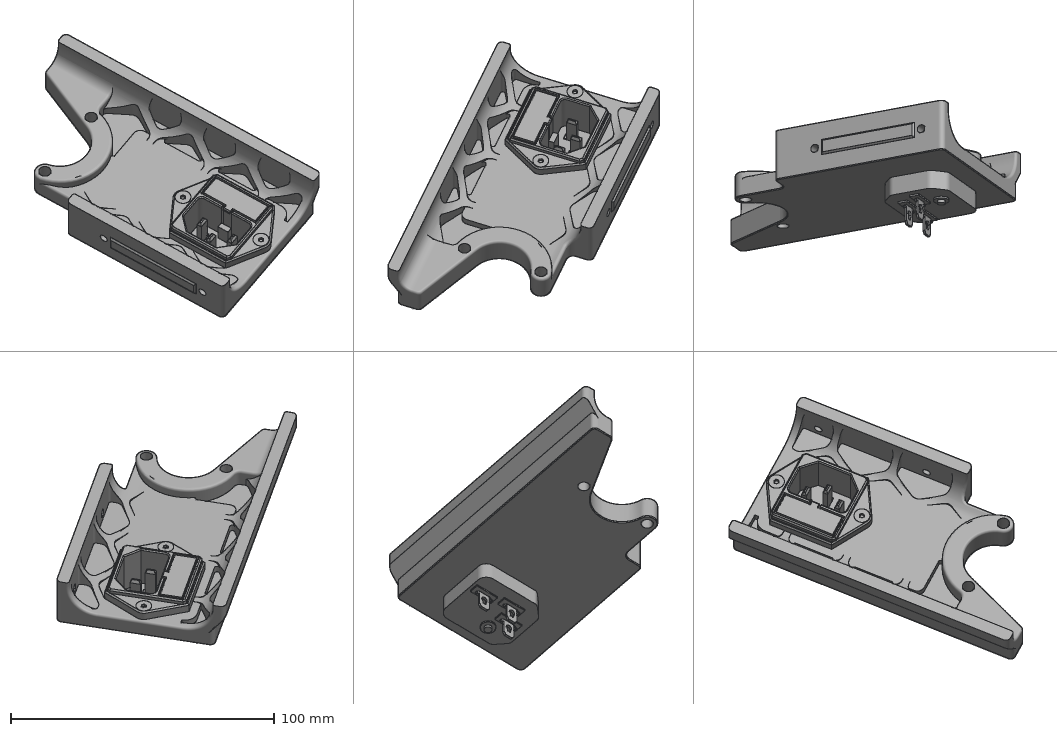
import cadquery as cq
import math

LENGTH = 118.0
WIDTH = 66.02
HEIGHT = 20.1
WALL = 5.0
FLOOR_Z = 6.5
COVE_R = 11.2
COVE_TOP = FLOOR_Z + COVE_R
CORNER_R = 2.0
RIM_R = 1.1
BOTTOM_CHAMFER = 0.4

BACK_LOW_Y = 61.8
UNDERCUT_TOP_Z = 14.5
UNDERCUT_SLOPE = 1.33

RING_X = 23.0
RING_Y = 29.0
RING_IN = 12.0
RING_OUT = 20.1
RING_TIP_R = (RING_OUT - RING_IN) / 2
RING_MID = (RING_OUT + RING_IN) / 2
HOLE_DX = 3.8
HOLE_DY = math.sqrt(RING_MID ** 2 - HOLE_DX ** 2)
HOLE_X = RING_X + HOLE_DX
MOUNT_HOLE_D = 4.6
LEFT_EDGE_END_Y = 52.5
FRONT_WALL_X = 45.8
NECK_R = 2.8
NECK_Y = RING_Y - HOLE_DY - RING_TIP_R

SHELF_Z = 10.32
SHELF_X = 27.1
SHELF_COVE_R = 5.0
SHELF_RIM_R = 1.2
SHELF_CORNER_R = 2.4

CELL_PITCH = 25.0
CELL_GAP = 3.0
CELL_CORNER_R = 3.5
CELL_RADIUS = (CELL_PITCH - CELL_GAP) / math.sqrt(3)
ROW_PITCH = CELL_PITCH * math.sqrt(3) / 2
CELL_X = 37.8
CELL_Y = 46.5
END_RIB_X = 114.8
POCKET_Z = 3.8
POCKET_CORNER_R = 1.0
PLATE_X = 42.8
PLATE_Y = 52.9
PLATE_CORNER_R = 3.0
PLATE_END_X = 113.3
PLATE_END_R = 4.7
END_POCKET_Y = 48.0

PAD_X0, PAD_X1 = 66.1, 105.6
PAD_Z0, PAD_Z1 = 6.8, 13.0
PAD_OUT = 0.77
PAD_BEVEL = 0.7
WALL_HOLE_D = 3.2
WALL_HOLE_Z = 9.9
WALL_HOLE_X = (63.0, 108.5)

INLET_X = 94.9
INLET_Y = 33.0
FLANGE_TOP = 10.1
FLANGE_HALF_Y = 16.5
FLANGE_HALF_X = 13.0
FLANGE_TIP_R = 3.8
FLANGE_BEVEL = 0.6
SCREW_DX = 17.9
RIM_TOP = 12.0
RIM_X, RIM_Y = 27.6, 30.9
RIM_CORNER = 1.2
RIM_BEVEL = 0.6
BODY_BOTTOM = -7.3
BODY_X, BODY_Y = 27.4, 30.9
BODY_BACK_R = 4.0
BODY_CHAMFER = 5.2
BODY_FRONT_R = 3.0

SOCKET_X = 24.1
SOCKET_Y0, SOCKET_Y1 = 19.5, 36.0
SOCKET_FLOOR = -4.7
SOCKET_CHAMFER = 5.3
SOCKET_TOP_R = 1.9
SOCKET_BEVEL = 0.5

DRAWER_X = 25.3
DRAWER_Y0, DRAWER_Y1 = 37.3, 47.2
GROOVE = 0.7
GROOVE_DEPTH = 1.2
TAB_X = 3.1
LATCH_X = 4.6
LATCH_Y = 2.2
LATCH_TOP = 2.4

PIN_X, PIN_Y = 2.0, 4.0
PIN_TOP = 7.1
PIN_TIP_HEIGHT = 1.2
PIN_TIP_INSET = 0.7
SHOULDER_Y = 6.3
SHOULDER_TOP = SOCKET_FLOOR + 0.6
PIN_DX = 7.0
PIN_ROW_Y = 29.9
EARTH_Y = 25.6
FUSE_TERMINAL = (89.3, 42.2)

PAD_BOTTOM = -8.0
TERMINAL_PAD_X, TERMINAL_PAD_Y = 3.9, 10.0
RIVET_PAD_D = 6.0
RIVET_D = 3.1
RIVET_BOTTOM = -9.2
BLADE_X, BLADE_Y = 0.8, 4.8
BLADE_BOTTOM = -15.7
BLADE_TIP = 1.3
BLADE_TIP_INSET = 0.88
BLADE_HOLE_D = 2.5
BLADE_HOLE_Z = -11.1
BLADE_HOLE_TAIL = 0.8
EAR_REACH = 1.5
EAR_THICK = 0.6
EAR_ROOT = 0.4

SCREW_HEAD_D = 6.0
SCREW_D = 3.0
SCREW_HEAD_H = 1.5
SCREW_LENGTH = 8.0
SCREW_HEX = 1.8
SCREW_HEX_DEPTH = 1.1


def box(x0, x1, y0, y1, z0, z1):
    return cq.Workplane("XY").box(x1 - x0, y1 - y0, z1 - z0, centered=False).translate((x0, y0, z0))


def outline_prism(back_y):
    """Plan outline of the housing up to back_y, full height."""
    dx = RING_X
    dy = LEFT_EDGE_END_Y - RING_Y
    reach = math.hypot(dx, dy)
    normal = math.atan2(dy, -dx) - math.acos(RING_IN / reach)
    tangent = (RING_X + RING_IN * math.cos(normal), RING_Y + RING_IN * math.sin(normal))
    tip_x = HOLE_X
    tip_y = RING_Y - HOLE_DY
    inner_end = (RING_X + HOLE_DX * RING_IN / RING_MID, RING_Y - HOLE_DY * RING_IN / RING_MID)
    neck_mid = NECK_R * math.sqrt(0.5)
    neck_cx = FRONT_WALL_X - NECK_R
    neck_cy = NECK_Y - NECK_R
    prism = (
        cq.Workplane("XY")
        .moveTo(0, back_y)
        .lineTo(0, LEFT_EDGE_END_Y)
        .lineTo(*tangent)
        .threePointArc((RING_X + RING_IN, RING_Y), inner_end)
        .threePointArc((tip_x - RING_TIP_R, tip_y), (tip_x, NECK_Y))
        .lineTo(neck_cx, NECK_Y)
        .threePointArc((neck_cx + neck_mid, neck_cy + neck_mid), (FRONT_WALL_X, neck_cy))
        .lineTo(FRONT_WALL_X, 0)
        .lineTo(LENGTH, 0)
        .lineTo(LENGTH, back_y)
        .close()
        .extrude(HEIGHT)
    )
    corners = [(0, back_y), (0, LEFT_EDGE_END_Y), (FRONT_WALL_X, 0), (LENGTH, 0), (LENGTH, back_y)]
    for x, y in corners:
        prism = prism.edges(cq.NearestToPointSelector((x, y, HEIGHT / 2))).fillet(CORNER_R)
    return prism


def housing_block():
    """Outline with the back face undercut below a sloping plane."""
    low = outline_prism(BACK_LOW_Y).faces("<Z").chamfer(BOTTOM_CHAMFER)
    drop = UNDERCUT_TOP_Z / UNDERCUT_SLOPE
    above_slope = (
        cq.Workplane("YZ")
        .polyline([(WIDTH, UNDERCUT_TOP_Z), (WIDTH, HEIGHT), (WIDTH - drop, HEIGHT), (WIDTH - drop, 0)])
        .close()
        .extrude(LENGTH)
    )
    return low.union(outline_prism(WIDTH).intersect(above_slope))


def shelf():
    """Space filled by the raised shelf and horseshoe, with its coved back."""
    ring = cq.Workplane("XY").center(RING_X, RING_Y).circle(RING_OUT).extrude(SHELF_Z)
    slab = box(-1.2, SHELF_X, RING_Y, WIDTH, 0, SHELF_Z)
    raised = slab.union(ring)
    corner_y = RING_Y + math.sqrt(RING_OUT ** 2 - (SHELF_X - RING_X) ** 2)
    raised = raised.edges(cq.NearestToPointSelector((SHELF_X, corner_y, SHELF_Z / 2))).fillet(SHELF_CORNER_R)
    cove_y = WIDTH - WALL - COVE_R
    rise = COVE_TOP - SHELF_Z
    gap = COVE_R - SHELF_COVE_R
    centre_z = SHELF_Z + SHELF_COVE_R
    centre_y = cove_y + math.sqrt(gap ** 2 - (rise - SHELF_COVE_R) ** 2)
    angle = math.atan2(centre_z - COVE_TOP, centre_y - cove_y)
    middle = (angle - math.pi / 2) / 2
    wedge = (
        cq.Workplane("YZ")
        .moveTo(centre_y, SHELF_Z)
        .threePointArc(
            (centre_y + SHELF_COVE_R * math.cos(middle), centre_z + SHELF_COVE_R * math.sin(middle)),
            (centre_y + SHELF_COVE_R * math.cos(angle), centre_z + SHELF_COVE_R * math.sin(angle)),
        )
        .lineTo(WIDTH, centre_z + SHELF_COVE_R * math.sin(angle))
        .lineTo(WIDTH, 0)
        .lineTo(centre_y, 0)
        .close()
        .extrude(SHELF_X + 1.2)
        .translate((-1.2, 0, 0))
    )
    raised = raised.union(wedge)
    low = (RING_X + 0.1, 0, SHELF_Z - 0.1)
    high = (RING_X + RING_OUT, BACK_LOW_Y - 1.2, COVE_TOP)
    return raised.edges(cq.selectors.BoxSelector(low, high)).fillet(SHELF_RIM_R)


def channel():
    """Space between the walls: flat floor and a cove along each wall."""
    half = COVE_R * math.sqrt(0.5)
    front_c = WALL + COVE_R
    back_c = WIDTH - WALL - COVE_R
    return (
        cq.Workplane("YZ")
        .moveTo(WALL, HEIGHT)
        .lineTo(WALL, COVE_TOP)
        .threePointArc((front_c - half, COVE_TOP - half), (front_c, FLOOR_Z))
        .lineTo(back_c, FLOOR_Z)
        .threePointArc((back_c + half, COVE_TOP - half), (WIDTH - WALL, COVE_TOP))
        .lineTo(WIDTH - WALL, HEIGHT)
        .close()
        .extrude(LENGTH)
    )


def near_plane(axis, place):
    """Selects edges whose centre lies on the plane at this place along X (0) or Y (1)."""
    low = [-LENGTH, -LENGTH, -LENGTH]
    high = [2 * LENGTH, 2 * LENGTH, 2 * LENGTH]
    low[axis] = place - 0.01
    high[axis] = place + 0.01
    return cq.selectors.BoxSelector(tuple(low), tuple(high))


def round_if_any(pocket, selector):
    """Rounds the upright edges picked by the selector, where there are any."""
    corners = pocket.edges("|Z").edges(selector)
    return corners.fillet(POCKET_CORNER_R) if corners.size() else pocket


def cell(x, y, floor_z, low_y=WALL):
    """One honeycomb cell with rounded corners, clipped by the walls (or low_y) and the end rib."""
    high_y = WIDTH - WALL
    pocket = (
        cq.Workplane("XY")
        .polygon(6, 2 * CELL_RADIUS)
        .extrude(HEIGHT - floor_z)
        .rotate((0, 0, 0), (0, 0, 1), 30)
        .translate((x, y, floor_z))
        .intersect(box(0, 2 * LENGTH, low_y, high_y, 0, HEIGHT))
    )
    cut_corners = near_plane(1, low_y) + near_plane(1, high_y)
    pocket = pocket.edges("|Z").edges(-cut_corners).fillet(CELL_CORNER_R)
    pocket = round_if_any(pocket, cut_corners)
    pocket = pocket.intersect(box(0, END_RIB_X, 0, WIDTH, 0, HEIGHT))
    return round_if_any(pocket, near_plane(0, END_RIB_X))


def cell_row(first, last, row):
    """Centres of the cells in one row; rows count towards -Y from the row at CELL_Y."""
    shift = (row % 2) * CELL_PITCH / 2
    return [(CELL_X + shift + i * CELL_PITCH, CELL_Y - row * ROW_PITCH) for i in range(first, last + 1)]


def plate():
    """Floor plate that bounds the deep pockets along the back."""
    slab = box(PLATE_X, PLATE_END_X, 0, PLATE_Y, 0, FLOOR_Z)
    slab = slab.edges("|Z and <X and >Y").fillet(PLATE_CORNER_R)
    slab = slab.edges("|Z and >X and >Y").fillet(PLATE_END_R)
    return slab.union(box(PLATE_END_X - PLATE_END_R, LENGTH, 0, END_POCKET_Y, 0, FLOOR_Z))


def pockets(raised):
    """All honeycomb pockets: deep ones along the back, the rest down to the floor plate."""
    filled = plate()
    tools = [cell(x, y, POCKET_Z) for x, y in cell_row(0, 2, -1)]
    middle = cell_row(0, 3, 0)
    tools += [cell(x, y, POCKET_Z, PLATE_Y) for x, y in middle[1:-1]]
    tools += [cell(x, y, POCKET_Z).cut(filled) for x, y in (middle[0], middle[-1])]
    shallow = middle + cell_row(0, 2, 1) + cell_row(1, 3, 2)
    tools += [cell(x, y, FLOOR_Z) for x, y in shallow]
    return [tool.cut(raised) for tool in tools]


def round_rims(body, outline):
    """Rounds the edges where the hollow between the walls runs out at the outline."""
    boundary = outline.faces("<Z").wires().val()

    def on_rim(edge):
        middle = edge.positionAt(0.5)
        if edge.BoundingBox().zmin < FLOOR_Z - 0.1 or middle.z > HEIGHT - 0.1 or middle.y > BACK_LOW_Y:
            return False
        return boundary.distance(cq.Vertex.makeVertex(middle.x, middle.y, 0)) < 0.001

    return body.edges().filter(on_rim).fillet(RIM_R)


def label_pad():
    pad = box(PAD_X0, PAD_X1, -PAD_OUT, 0, PAD_Z0, PAD_Z1)
    return pad.faces("<Y").chamfer(PAD_BEVEL)


def make_housing():
    raised = shelf()
    body = housing_block().cut(channel().cut(raised))
    body = round_rims(body, outline_prism(WIDTH))
    for pocket in pockets(raised):
        body = body.cut(pocket)
    for side in (-1, 1):
        hole = cq.Workplane("XY").center(HOLE_X, RING_Y + side * HOLE_DY).circle(MOUNT_HOLE_D / 2)
        body = body.cut(hole.extrude(HEIGHT))
    for x in WALL_HOLE_X:
        hole = cq.Workplane("XZ").center(x, WALL_HOLE_Z).circle(WALL_HOLE_D / 2).extrude(-WALL)
        body = body.cut(hole)
    return body.union(label_pad())


def body_prism(z0, z1):
    """Rectangle with two rounded back corners and two chamfered, softened front corners."""
    x, y, c = BODY_X / 2, BODY_Y / 2, BODY_CHAMFER
    points = [(-x, y), (x, y), (x, c - y), (x - c, -y), (c - x, -y), (-x, c - y)]
    prism = cq.Workplane("XY").polyline(points).close().extrude(z1 - z0)
    prism = prism.edges("|Z and >Y").fillet(BODY_BACK_R)
    front = cq.selectors.BoxSelector((-x - 1.2, -y - 1.2, -1.2), (x + 1.2, c - y + 1.2, z1 - z0 + 1.2))
    prism = prism.edges(front).edges("|Z").fillet(BODY_FRONT_R)
    return prism.translate((INLET_X, INLET_Y, z0))


def flange():
    """Six-sided flange whose two ends are rounded about the screws."""
    y, x = FLANGE_HALF_Y, FLANGE_HALF_X
    dx, dy = SCREW_DX - x, -y
    reach = math.hypot(dx, dy)
    normal = math.atan2(-dy, -dx) - math.acos(FLANGE_TIP_R / reach)
    tx = SCREW_DX + FLANGE_TIP_R * math.cos(normal)
    ty = FLANGE_TIP_R * math.sin(normal)
    end_x = SCREW_DX + FLANGE_TIP_R
    return (
        cq.Workplane("XY")
        .moveTo(-x, y)
        .lineTo(x, y)
        .lineTo(tx, ty)
        .threePointArc((end_x, 0), (tx, -ty))
        .lineTo(x, -y)
        .lineTo(-x, -y)
        .lineTo(-tx, -ty)
        .threePointArc((-end_x, 0), (-tx, ty))
        .close()
        .extrude(FLANGE_TOP - FLOOR_Z)
        .faces(">Z")
        .chamfer(FLANGE_BEVEL)
        .translate((INLET_X, INLET_Y, FLOOR_Z))
    )


def socket():
    """Hollow of the socket, with a bevelled mouth."""
    x, c = SOCKET_X / 2, SOCKET_CHAMFER
    points = [
        (-x, SOCKET_Y1), (x, SOCKET_Y1), (x, SOCKET_Y0 + c),
        (x - c, SOCKET_Y0), (c - x, SOCKET_Y0), (-x, SOCKET_Y0 + c),
    ]
    hollow = cq.Workplane("XY").polyline(points).close().extrude(RIM_TOP - SOCKET_FLOOR)
    hollow = hollow.edges("|Z and >Y").fillet(SOCKET_TOP_R)
    bevel = (
        hollow.faces(">Z").wires().toPending().offset2D(SOCKET_BEVEL, "intersection")
        .extrude(-SOCKET_BEVEL, combine=False, taper=45)
    )
    hollow = hollow.union(bevel)
    return hollow.translate((INLET_X, 0, SOCKET_FLOOR))


def centred_box(width, y0, y1, z0, z1):
    return box(INLET_X - width / 2, INLET_X + width / 2, y0, y1, z0, z1)


def drawer_groove():
    """Gap around the fuse drawer and beside its tab."""
    low = RIM_TOP - GROOVE_DEPTH
    outer = centred_box(DRAWER_X, DRAWER_Y0, DRAWER_Y1, low, RIM_TOP)
    outer = outer.union(centred_box(LATCH_X, SOCKET_Y1, DRAWER_Y0, low, RIM_TOP))
    drawer = centred_box(DRAWER_X - 2 * GROOVE, DRAWER_Y0 + GROOVE, DRAWER_Y1 - GROOVE, low, RIM_TOP)
    tab = centred_box(TAB_X, SOCKET_Y1, DRAWER_Y1 - GROOVE, low, RIM_TOP)
    return outer.cut(drawer).cut(tab)


def contact_pin(x, y):
    """Flat pin with a pointed tip, standing on a wider shoulder on the socket floor."""
    shoulder = cq.Workplane("XY").box(PIN_X, SHOULDER_Y, SHOULDER_TOP - SOCKET_FLOOR, centered=(True, True, False))
    height = PIN_TOP - SOCKET_FLOOR
    pin = cq.Workplane("XY").box(PIN_X, PIN_Y, height, centered=(True, True, False))
    pin = pin.faces(">Z").chamfer(PIN_TIP_HEIGHT, PIN_TIP_INSET)
    return shoulder.union(pin).translate((x, y, SOCKET_FLOOR))


def terminal_places():
    """The two plain socket contacts and the fuse contact, as (x, y, has a socket pin)."""
    return [
        (INLET_X - PIN_DX, PIN_ROW_Y, True),
        (INLET_X, EARTH_Y, True),
        (*FUSE_TERMINAL, False),
    ]


def make_terminal(x, y, has_pin):
    """Solder blade below the inlet, running up to the socket."""
    half = BLADE_Y / 2
    tip = half - BLADE_TIP_INSET
    shoulder_z = BLADE_BOTTOM + BLADE_TIP
    points = [
        (half, SOCKET_FLOOR), (half, shoulder_z), (tip, BLADE_BOTTOM),
        (-tip, BLADE_BOTTOM), (-half, shoulder_z), (-half, SOCKET_FLOOR),
    ]
    blade = cq.Workplane("YZ").polyline(points).close().extrude(BLADE_X / 2, both=True)
    for side in (-1, 1):
        ear = [
            (side * (half - EAR_ROOT), PAD_BOTTOM), (side * half, PAD_BOTTOM),
            (side * (half + EAR_REACH), PAD_BOTTOM - EAR_REACH + EAR_THICK),
            (side * (half + EAR_REACH - EAR_THICK), PAD_BOTTOM - EAR_REACH),
            (side * (half - EAR_ROOT), PAD_BOTTOM - EAR_THICK),
        ]
        blade = blade.union(cq.Workplane("YZ").polyline(ear).close().extrude(BLADE_X / 2, both=True))
    r = BLADE_HOLE_D / 2
    tail = BLADE_HOLE_Z - r - BLADE_HOLE_TAIL
    eye = (
        cq.Workplane("YZ")
        .moveTo(-r, BLADE_HOLE_Z)
        .threePointArc((0, BLADE_HOLE_Z + r), (r, BLADE_HOLE_Z))
        .lineTo(r / 2, tail)
        .lineTo(-r / 2, tail)
        .close()
        .extrude(BLADE_X, both=True)
    )
    terminal = blade.cut(eye).translate((x, y, 0))
    if has_pin:
        terminal = terminal.union(contact_pin(x, y))
    return terminal


def make_inlet():
    body = body_prism(BODY_BOTTOM, FLOOR_Z).union(flange())
    rim = cq.Workplane("XY").box(RIM_X, RIM_Y, RIM_TOP - FLANGE_TOP, centered=(True, True, False))
    rim = rim.edges("|Z").chamfer(RIM_CORNER).faces(">Z").chamfer(RIM_BEVEL)
    body = body.union(rim.translate((INLET_X, INLET_Y, FLANGE_TOP)))
    body = body.cut(socket()).cut(drawer_groove())
    tab_bottom = RIM_TOP - GROOVE_DEPTH
    body = body.cut(centred_box(LATCH_X, SOCKET_Y1, DRAWER_Y0, SOCKET_FLOOR, tab_bottom))
    body = body.union(centred_box(LATCH_X, SOCKET_Y1 - LATCH_Y, SOCKET_Y1, SOCKET_FLOOR, LATCH_TOP))
    for x, y, _ in terminal_places():
        pad = cq.Workplane("XY").box(TERMINAL_PAD_X, TERMINAL_PAD_Y, BODY_BOTTOM - PAD_BOTTOM)
        body = body.union(pad.translate((x, y, (BODY_BOTTOM + PAD_BOTTOM) / 2)))
    live_x = INLET_X + PIN_DX
    body = body.union(contact_pin(live_x, PIN_ROW_Y))
    for diameter, bottom in ((RIVET_PAD_D, PAD_BOTTOM), (RIVET_D, RIVET_BOTTOM)):
        disc = cq.Workplane("XY").circle(diameter / 2).extrude(BODY_BOTTOM - bottom)
        body = body.union(disc.translate((live_x, PIN_ROW_Y, bottom)))
    return body


def screw_blank():
    """Countersunk screw without its drive."""
    profile = [
        (0, 0), (SCREW_HEAD_D / 2, 0), (SCREW_D / 2, -SCREW_HEAD_H),
        (SCREW_D / 2, -SCREW_LENGTH), (0, -SCREW_LENGTH),
    ]
    return cq.Workplane("XZ").polyline(profile).close().revolve(360, (0, 0, 0), (0, 1, 0))


def make_screw():
    drive = cq.Workplane("XY").polygon(6, SCREW_HEX * 2 / math.sqrt(3)).extrude(-SCREW_HEX_DEPTH)
    return screw_blank().cut(drive)


housing = make_housing()
inlet = make_inlet()
terminals = [make_terminal(*place) for place in terminal_places()]
screws = []
for side in (-1, 1):
    seat = (INLET_X + side * SCREW_DX, INLET_Y, FLANGE_TOP)
    screws.append(make_screw().translate(seat))
    inlet = inlet.cut(screw_blank().translate(seat))
    housing = housing.cut(screw_blank().translate(seat))
housing = housing.cut(body_prism(BODY_BOTTOM, FLOOR_Z))
for terminal in terminals:
    inlet = inlet.cut(terminal)

result = cq.Compound.makeCompound(
    [housing.val(), inlet.val(), *[t.val() for t in terminals], *[s.val() for s in screws]]
)